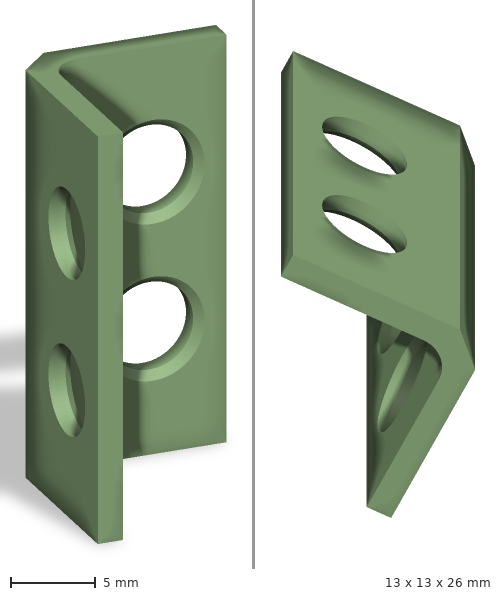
import cadquery as cq

leg_length = 13.0
height = 26.0
thickness = 1.6
corner_chamfer = 2.0
inner_radius = 2.0
hole_diameter = 5.6
countersink_depth = 0.52
hole_edge_distance = 4.7
hole_spacing = 10.0

hole_offset = leg_length - hole_edge_distance
hole_heights = [height / 2 - hole_spacing / 2, height / 2 + hole_spacing / 2]


def angle_body():
    """L-shaped angle with a chamfered outer corner and a rounded inner corner."""
    profile = [
        (0, 0),
        (leg_length, 0),
        (leg_length, thickness),
        (thickness, thickness),
        (thickness, leg_length),
        (0, leg_length),
    ]
    body = cq.Workplane("XY").polyline(profile).close().extrude(height)
    inner_edge = cq.selectors.NearestToPointSelector((thickness, thickness, height / 2))
    body = body.edges("|Z").edges(inner_edge).fillet(inner_radius)
    outer_edge = cq.selectors.NearestToPointSelector((0, 0, height / 2))
    return body.edges("|Z").edges(outer_edge).chamfer(corner_chamfer)


def leg_hole(center, direction):
    """Cutter for one leg: a straight hole with a 45 degree countersink on the inner face."""
    start = cq.Vector(*center)
    axis = cq.Vector(*direction)
    hole = cq.Solid.makeCylinder(hole_diameter / 2, thickness, start, axis)
    countersink = cq.Solid.makeCone(
        hole_diameter / 2,
        hole_diameter / 2 + countersink_depth,
        countersink_depth,
        start + axis * (thickness - countersink_depth),
        axis,
    )
    return cq.Workplane(hole).union(cq.Workplane(countersink))


result = angle_body()
for hole_height in hole_heights:
    result = result.cut(leg_hole((hole_offset, 0, hole_height), (0, 1, 0)))
    result = result.cut(leg_hole((0, hole_offset, hole_height), (1, 0, 0)))